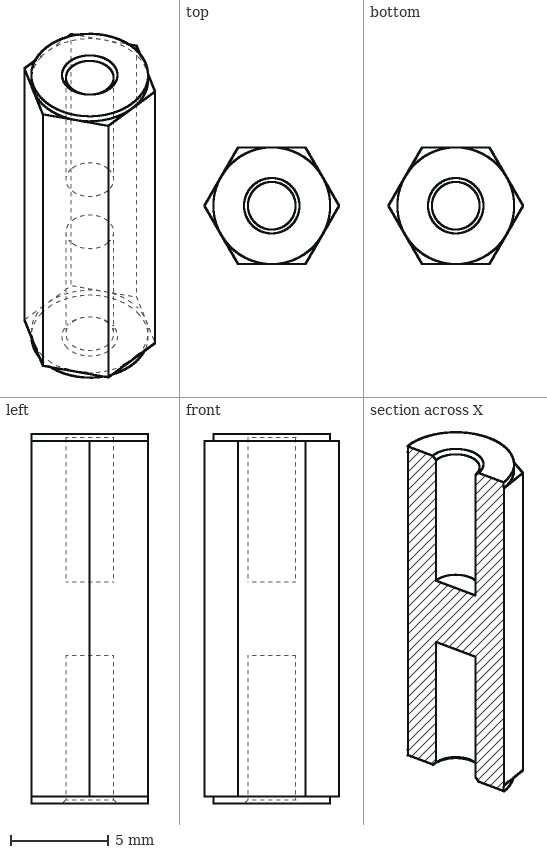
import cadquery as cq
import math

length = 19.0
across_flats = 6.0
collar_height = 0.36
hole_diameter = 2.45
countersink_diameter = 2.85
hole_depth = 7.6

across_corners = across_flats / math.cos(math.radians(30))
countersink_depth = (countersink_diameter - hole_diameter) / 2


def make_body():
    """Hexagonal bar with a round collar, as wide as the flats, at each end."""
    core = cq.Workplane("XY").circle(across_flats / 2).extrude(length)
    hexagon = (
        cq.Workplane("XY", origin=(0, 0, collar_height))
        .polygon(6, across_corners)
        .extrude(length - 2 * collar_height)
    )
    return hexagon.union(core)


def make_blind_hole():
    """Flat-bottomed hole with a countersunk mouth, sunk from Z = 0 along +Z."""
    bore_radius = hole_diameter / 2
    mouth_radius = countersink_diameter / 2
    return (
        cq.Workplane("XZ")
        .moveTo(0, 0)
        .lineTo(mouth_radius, 0)
        .lineTo(bore_radius, countersink_depth)
        .lineTo(bore_radius, hole_depth)
        .lineTo(0, hole_depth)
        .close()
        .revolve(360, (0, 0, 0), (0, 1, 0))
    )


bottom_hole = make_blind_hole()
top_hole = bottom_hole.mirror("XY").translate((0, 0, length))

result = make_body().cut(bottom_hole).cut(top_hole)